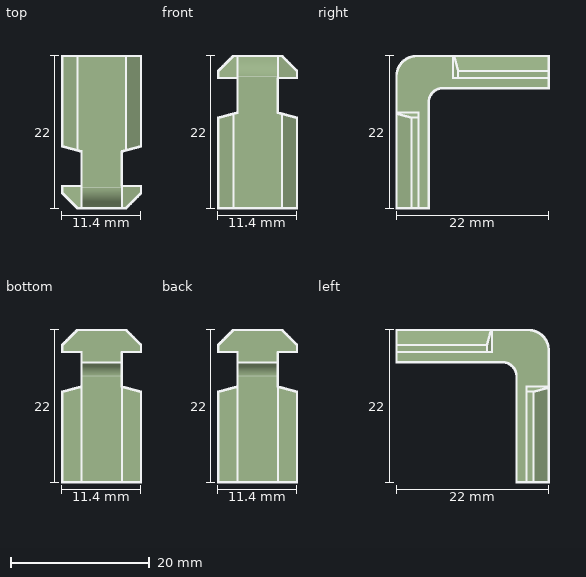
import cadquery as cq
import math

arm_length = 22.0
total_width = 11.4
core_width = 5.83
thickness = 4.69
outer_radius = 3.0
inner_radius = 2.0

wing_depth = 3.23
wing_chamfer = 2.2
wing_length = 13.82
wing_end_angle = 15.0

half_width = total_width / 2
half_core = core_width / 2
wing_drop = (half_width - half_core) * math.tan(math.radians(wing_end_angle))


def make_core():
    """L-shaped bar with its sharp outer corner on the X axis, rounded inside and out."""
    core = (
        cq.Workplane("YZ")
        .polyline([
            (0, 0),
            (arm_length, 0),
            (arm_length, -thickness),
            (thickness, -thickness),
            (thickness, -arm_length),
            (0, -arm_length),
        ])
        .close()
        .extrude(half_core, both=True)
    )
    core = core.edges(cq.NearestToPointSelector((0, 0, 0))).fillet(outer_radius)
    return core.edges(cq.NearestToPointSelector((0, thickness, -thickness))).fillet(inner_radius)


def make_upright_wings():
    """Both wings of the upright arm: chamfered section trimmed to sloping inner ends."""
    section = (
        cq.Workplane("XY", origin=(0, 0, -arm_length))
        .polyline([
            (-half_width + wing_chamfer, 0),
            (half_width - wing_chamfer, 0),
            (half_width, wing_chamfer),
            (half_width, wing_depth),
            (-half_width, wing_depth),
            (-half_width, wing_chamfer),
        ])
        .close()
        .extrude(wing_length)
    )
    wing_top = wing_length - arm_length
    outline = (
        cq.Workplane("XZ")
        .polyline([
            (-half_width, -arm_length),
            (half_width, -arm_length),
            (half_width, wing_top - wing_drop),
            (half_core, wing_top),
            (-half_core, wing_top),
            (-half_width, wing_top - wing_drop),
        ])
        .close()
        .extrude(-wing_depth)
    )
    return section.intersect(outline)


upright_wings = make_upright_wings()
level_wings = upright_wings.mirror((0, 1, 1))

result = make_core().union(upright_wings).union(level_wings).clean()